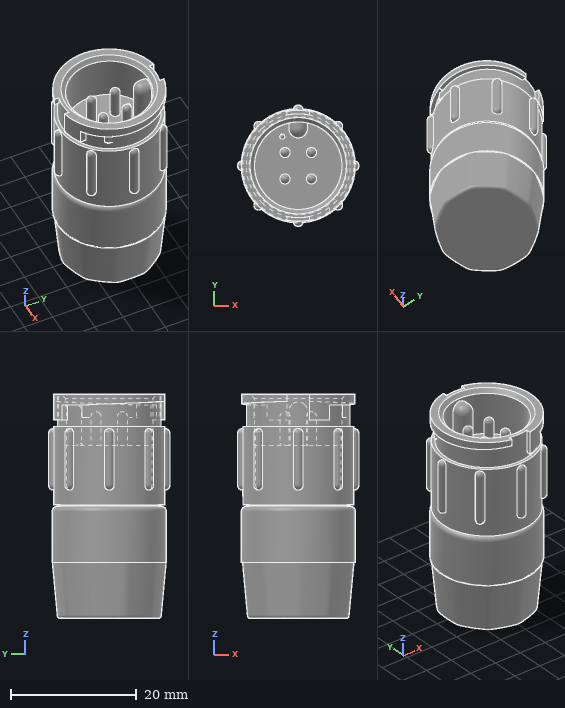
import math

import cadquery as cq

TOTAL_HEIGHT = 35.63
RING_BOTTOM = 8.9
RING_TOP = 17.83
SLEEVE_BOTTOM = 18.05
SLEEVE_TOP = TOTAL_HEIGHT - 5.12

FLANGE_RADIUS = 9.0
COLLAR_RADIUS = 8.25
SLEEVE_RADIUS = 8.82
NECK_RADIUS = 7.8
RING_RADIUS = 9.08
RING_ROUND = 0.85

FLANGE_THICKNESS = 1.75
SLOT_HALF_WIDTH = 1.8
LUG_END_X = 4.93
LUG_DEPTH = 4.1
RAMP_START_THICKNESS = 1.15
RAMP_END_THICKNESS = 1.67
RAMP_START_ANGLE = math.degrees(math.asin(SLOT_HALF_WIDTH / FLANGE_RADIUS))
RAMP_END_ANGLE = 113.0
RAMP_SWEEP = RAMP_END_ANGLE - RAMP_START_ANGLE
RAMP_RISE = RAMP_END_THICKNESS - RAMP_START_THICKNESS
CUT_MARGIN = 0.5

DETENT_BOTTOM_DEPTH = 3.7
DETENT_CREST = (7.55, -3.95)
DETENT_CREST_ROUND = 0.15
DETENT_STEEP_ANGLE = -31.8
DETENT_SHALLOW_ANGLE = -23.0
DETENT_ROOT_RADIUS = COLLAR_RADIUS - CUT_MARGIN

BORE_RADIUS = 6.95
BORE_DEPTH = 8.2
BORE_CHAMFER = 0.7
PIN_RADIUS = 0.8
PIN_OFFSET = 2.1
PIN_TIP_DEPTH = 2.8
KEY_RADIUS = 1.47
KEY_CENTER_Y = 5.9
KEY_TIP_DEPTH = 1.25
DOT_RADIUS = 0.4
DOT_POSITION = (-2.54, 4.62)

SLEEVE_RIB_COUNT = 8
SLEEVE_RIB_RADIUS = 0.78
SLEEVE_RIB_REACH = 9.65
SLEEVE_RIB_TOP = TOTAL_HEIGHT - 5.47
SLEEVE_RIB_BOTTOM = TOTAL_HEIGHT - 15.25

GRIP_RIB_COUNT = 10
GRIP_TOP_RADIUS = 9.06
GRIP_DRAFT = 5.35
GRIP_RIB_HALF_WIDTH = 0.875
GRIP_RIB_CROWN = 0.13
GRIP_PANEL_DROP = 0.18
GRIP_BOTTOM_ROUND = 0.45

FLANGE_BOTTOM = TOTAL_HEIGHT - FLANGE_THICKNESS
BORE_FLOOR = TOTAL_HEIGHT - BORE_DEPTH


def cylinder(radius, bottom, top, x=0.0, y=0.0):
    return cq.Workplane("XY", origin=(x, y, bottom)).circle(radius).extrude(top - bottom)


def sphere(radius, x, y, z):
    return cq.Workplane("XY", origin=(x, y, z)).sphere(radius)


def capsule(radius, bottom, top, x, y):
    """Upright rod with a hemisphere at each end."""
    outline = cq.Workplane("XZ", origin=(x, y, 0)).moveTo(0, bottom)
    outline = outline.radiusArc((radius, bottom + radius), -radius)
    outline = outline.lineTo(radius, top - radius)
    outline = outline.radiusArc((0, top), -radius)
    return outline.close().revolve(360, (0, bottom, 0), (0, top, 0))


def polar(radius, degrees):
    angle = math.radians(degrees)
    return (radius * math.cos(angle), radius * math.sin(angle))


def both_sides(shape):
    """The shape together with its copy half a turn around the axis."""
    return shape.union(shape.rotate((0, 0, 0), (0, 0, 1), 180))


def make_body():
    neck = cylinder(NECK_RADIUS, RING_BOTTOM, SLEEVE_BOTTOM)
    ring = cylinder(RING_RADIUS, RING_BOTTOM, RING_TOP).faces(">Z").edges().fillet(RING_ROUND)
    sleeve = cylinder(SLEEVE_RADIUS, SLEEVE_BOTTOM, SLEEVE_TOP)
    collar = cylinder(COLLAR_RADIUS, SLEEVE_BOTTOM, TOTAL_HEIGHT)
    return neck.union(ring).union(sleeve).union(collar)


def grip_outline(sketch, peak_radius):
    """Closed outline of alternating rib crowns and slightly bulged panels."""
    edge_radius = math.hypot(peak_radius - GRIP_RIB_CROWN, GRIP_RIB_HALF_WIDTH)
    half_rib = math.degrees(math.asin(GRIP_RIB_HALF_WIDTH / edge_radius))
    pitch = 360.0 / GRIP_RIB_COUNT
    first_rib = -90.0
    sketch = sketch.moveTo(*polar(edge_radius, first_rib - half_rib))
    for index in range(GRIP_RIB_COUNT):
        rib = first_rib + index * pitch
        sketch = sketch.threePointArc(polar(peak_radius, rib), polar(edge_radius, rib + half_rib))
        sketch = sketch.threePointArc(
            polar(peak_radius - GRIP_PANEL_DROP, rib + pitch / 2),
            polar(edge_radius, rib + pitch - half_rib),
        )
    return sketch.close()


def make_grip():
    bottom_radius = GRIP_TOP_RADIUS - RING_BOTTOM * math.tan(math.radians(GRIP_DRAFT))
    bottom = grip_outline(cq.Workplane("XY"), bottom_radius)
    outlines = grip_outline(bottom.workplane(offset=RING_BOTTOM), GRIP_TOP_RADIUS)
    return outlines.loft(ruled=True).faces("<Z").edges().fillet(GRIP_BOTTOM_ROUND)


def add_sleeve_ribs(body):
    center_radius = SLEEVE_RIB_REACH - SLEEVE_RIB_RADIUS
    for index in range(SLEEVE_RIB_COUNT):
        x, y = polar(center_radius, index * 360.0 / SLEEVE_RIB_COUNT)
        body = body.union(capsule(SLEEVE_RIB_RADIUS, SLEEVE_RIB_BOTTOM, SLEEVE_RIB_TOP, x, y))
    return body


def make_ramp_cut():
    """Helical wedge that thins the flange toward the slot at -Y, on the -X side."""
    mid_radius = (COLLAR_RADIUS + FLANGE_RADIUS) / 2
    width = FLANGE_RADIUS - COLLAR_RADIUS + 2 * CUT_MARGIN
    height = RAMP_RISE + CUT_MARGIN
    pitch = RAMP_RISE * 360.0 / RAMP_SWEEP
    helix = cq.Wire.makeHelix(pitch, RAMP_RISE, mid_radius)
    profile = cq.Workplane("XZ", origin=(mid_radius, 0, -height / 2)).rect(width, height)
    wedge = profile.sweep(cq.Workplane(obj=helix), isFrenet=True)
    start_angle = -90.0 - RAMP_END_ANGLE
    wedge = wedge.rotate((0, 0, 0), (0, 0, 1), start_angle)
    return wedge.translate((0, 0, TOTAL_HEIGHT - RAMP_END_THICKNESS))


def make_flange():
    ramp_cuts = both_sides(make_ramp_cut())
    flange = cylinder(FLANGE_RADIUS, FLANGE_BOTTOM, TOTAL_HEIGHT).cut(ramp_cuts)
    lug_blank = (
        cq.Workplane("XY", origin=(0, 0, TOTAL_HEIGHT - LUG_DEPTH))
        .moveTo(SLOT_HALF_WIDTH, -FLANGE_RADIUS)
        .lineTo(LUG_END_X, -FLANGE_RADIUS)
        .lineTo(LUG_END_X, 0)
        .lineTo(SLOT_HALF_WIDTH, 0)
        .close()
        .extrude(LUG_DEPTH)
    )
    lug = lug_blank.intersect(cylinder(FLANGE_RADIUS, 0, TOTAL_HEIGHT))
    slots = cq.Workplane("XY", origin=(0, 0, FLANGE_BOTTOM)).rect(2 * SLOT_HALF_WIDTH, 2 * RING_RADIUS)
    return flange.cut(slots.extrude(FLANGE_THICKNESS)).union(both_sides(lug))


def make_detents():
    bump = (
        cq.Workplane("XY", origin=(0, 0, TOTAL_HEIGHT - DETENT_BOTTOM_DEPTH))
        .moveTo(*polar(DETENT_ROOT_RADIUS, DETENT_STEEP_ANGLE))
        .lineTo(*polar(COLLAR_RADIUS, DETENT_STEEP_ANGLE))
        .lineTo(*DETENT_CREST)
        .lineTo(*polar(COLLAR_RADIUS, DETENT_SHALLOW_ANGLE))
        .lineTo(*polar(DETENT_ROOT_RADIUS, DETENT_SHALLOW_ANGLE))
        .close()
        .extrude(DETENT_BOTTOM_DEPTH - FLANGE_THICKNESS)
    )
    crest = cq.selectors.NearestToPointSelector((*DETENT_CREST, FLANGE_BOTTOM))
    return both_sides(bump.edges("|Z").edges(crest).fillet(DETENT_CREST_ROUND))


def make_bore():
    bore = cylinder(BORE_RADIUS, BORE_FLOOR, TOTAL_HEIGHT)
    mouth = cq.Workplane("XY", origin=(0, 0, TOTAL_HEIGHT)).circle(BORE_RADIUS + BORE_CHAMFER)
    mouth = mouth.extrude(-BORE_CHAMFER, taper=45)
    return bore.union(mouth)


def add_pins(body):
    """Four round-tipped contacts, rooted below the bore floor."""
    for x in (-PIN_OFFSET, PIN_OFFSET):
        for y in (-PIN_OFFSET, PIN_OFFSET):
            pin = capsule(PIN_RADIUS, BORE_FLOOR - 2 * PIN_RADIUS, TOTAL_HEIGHT - PIN_TIP_DEPTH, x, y)
            body = body.union(pin)
    return body


def make_key():
    """Round-topped post that runs into the bore wall at +Y."""
    dome_height = TOTAL_HEIGHT - KEY_TIP_DEPTH - KEY_RADIUS
    run = (BORE_RADIUS + COLLAR_RADIUS) / 2 - KEY_CENTER_Y
    post = cylinder(KEY_RADIUS, BORE_FLOOR, dome_height, 0, KEY_CENTER_Y)
    dome = sphere(KEY_RADIUS, 0, KEY_CENTER_Y, dome_height)
    ridge = cq.Workplane("XZ", origin=(0, KEY_CENTER_Y, dome_height)).circle(KEY_RADIUS).extrude(-run)
    web = (
        cq.Workplane("XY", origin=(0, KEY_CENTER_Y + run / 2, BORE_FLOOR))
        .rect(2 * KEY_RADIUS, run)
        .extrude(dome_height - BORE_FLOOR)
    )
    key = post.union(dome).union(ridge).union(web)
    return key.intersect(cylinder(COLLAR_RADIUS, BORE_FLOOR, TOTAL_HEIGHT))


shell = make_body().union(make_grip())
shell = add_sleeve_ribs(shell)
shell = shell.union(make_flange()).union(make_detents()).cut(make_bore())
shell = add_pins(shell).union(make_key())
result = shell.union(sphere(DOT_RADIUS, *DOT_POSITION, BORE_FLOOR))